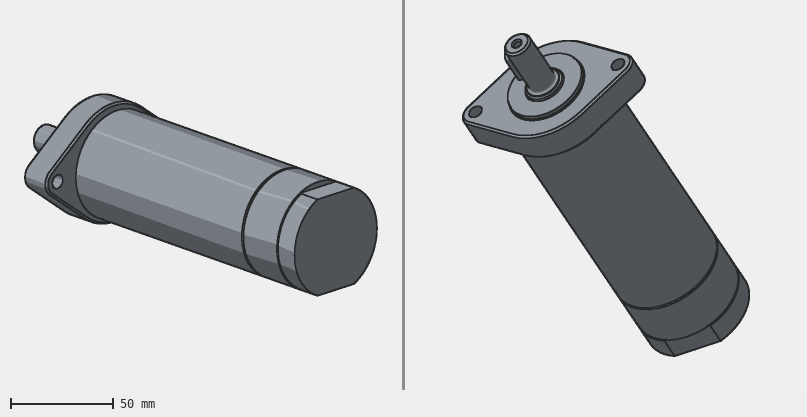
import cadquery as cq
import math

LENGTH = 207.3
SHAFT_LENGTH = 28.2
COLLAR_START = 30.3
PILOT_START = 32.0
FLANGE_START = 34.5
FLANGE_END = 50.8
NECK_LENGTH = 1.9
GROOVE_START = 170.0
GROOVE_WIDTH = 1.2
SEAM_START = 194.9
SEAM_WIDTH = 0.6

SHAFT_DIAMETER = 14.0
SHAFT_CHAMFER = 1.0
SHAFT_FILLET = 1.7
COLLAR_DIAMETER = 20.0
COLLAR_BEVEL_LENGTH = 0.6
COLLAR_BEVEL_HEIGHT = 1.0
PILOT_BORE_DIAMETER = 21.0
PILOT_DIAMETER = 40.0
PILOT_BASE_BEVEL = 0.52
NECK_DIAMETER = 48.0
SEAM_DIAMETER = 55.5
BODY_DIAMETER = 56.0

CENTRE_MOUTH_DIAMETER = 5.4
CENTRE_DIAMETER = 4.1
CENTRE_BEVEL = 1.0
CENTRE_DEPTH = 8.3
CENTRE_POINT = 1.0

KEY_START = 5.0
KEY_LENGTH = 18.0
KEY_WIDTH = 5.0
KEY_TOP = 9.0

FLANGE_HEIGHT = 62.0
HOLE_SPACING = 77.1
LUG_DIAMETER = 15.0
HOLE_DIAMETER = 7.0
FLANGE_CHAMFER = 1.0

FLATS_DISTANCE = 50.2


def turned(points):
    """Revolve (x, radius) points around the X axis; the outline closes along the axis."""
    outline = [(points[0][0], 0)] + points
    if points[-1][1] > 0:
        outline.append((points[-1][0], 0))
    return cq.Workplane("XY").polyline(outline).close().revolve(360, (0, 0, 0), (1, 0, 0))


def cylinder(start, end, diameter):
    """Cylinder on the X axis."""
    return turned([(start, diameter / 2), (end, diameter / 2)])


def make_shaft():
    """Shaft with a bevelled tip and a concave fillet rising to the bevelled collar."""
    shaft_r = SHAFT_DIAMETER / 2
    collar_r = COLLAR_DIAMETER / 2
    fillet_r = shaft_r + SHAFT_FILLET
    diagonal = SHAFT_FILLET * math.sqrt(0.5)
    fillet_end = SHAFT_LENGTH + SHAFT_FILLET
    outline = (
        cq.Workplane("XY")
        .lineTo(0, shaft_r - SHAFT_CHAMFER)
        .lineTo(SHAFT_CHAMFER, shaft_r)
        .lineTo(SHAFT_LENGTH, shaft_r)
        .threePointArc((SHAFT_LENGTH + diagonal, fillet_r - diagonal), (fillet_end, fillet_r))
        .lineTo(COLLAR_START, collar_r - COLLAR_BEVEL_HEIGHT)
        .lineTo(COLLAR_START + COLLAR_BEVEL_LENGTH, collar_r)
        .lineTo(FLANGE_START, collar_r)
        .lineTo(FLANGE_START, 0)
        .close()
    )
    return outline.revolve(360, (0, 0, 0), (1, 0, 0))


def make_key():
    return (
        cq.Workplane("XZ")
        .center(KEY_START + KEY_LENGTH / 2, 0)
        .slot2D(KEY_LENGTH, KEY_WIDTH)
        .extrude(-KEY_TOP)
    )


def make_flange():
    """Lens-shaped plate: a large disc joined to two lugs by tangent lines."""
    big = FLANGE_HEIGHT / 2
    small = LUG_DIAMETER / 2
    lug_y = HOLE_SPACING / 2
    tangent_y = (big - small) / lug_y
    tangent_z = math.sqrt(1 - tangent_y ** 2)
    disc_y, disc_z = big * tangent_y, big * tangent_z
    tip_y, tip_z = lug_y + small * tangent_y, small * tangent_z
    plate = (
        cq.Workplane("YZ", origin=(FLANGE_START, 0, 0))
        .moveTo(-disc_y, disc_z)
        .threePointArc((0, big), (disc_y, disc_z))
        .lineTo(tip_y, tip_z)
        .threePointArc((lug_y + small, 0), (tip_y, -tip_z))
        .lineTo(disc_y, -disc_z)
        .threePointArc((0, -big), (-disc_y, -disc_z))
        .lineTo(-tip_y, -tip_z)
        .threePointArc((-lug_y - small, 0), (-tip_y, tip_z))
        .close()
        .extrude(FLANGE_END - FLANGE_START)
        .faces("<X or >X")
        .chamfer(FLANGE_CHAMFER)
    )
    holes = (
        cq.Workplane("YZ", origin=(FLANGE_START, 0, 0))
        .pushPoints([(-lug_y, 0), (lug_y, 0)])
        .circle(HOLE_DIAMETER / 2)
        .extrude(FLANGE_END - FLANGE_START)
    )
    return plate.cut(holes)


def make_pilot():
    """Locating ring with a small bevel at its base and a clearance bore around the collar."""
    ring_r = PILOT_DIAMETER / 2
    ring = turned([
        (PILOT_START, ring_r),
        (FLANGE_START - PILOT_BASE_BEVEL, ring_r),
        (FLANGE_START, ring_r + PILOT_BASE_BEVEL),
    ])
    return ring.cut(cylinder(PILOT_START, FLANGE_START, PILOT_BORE_DIAMETER))


def make_body():
    """Round housing with a neck behind the flange, a deep groove and a shallow seam."""
    groove_end = GROOVE_START + GROOVE_WIDTH
    seam_end = SEAM_START + SEAM_WIDTH
    neck_r = NECK_DIAMETER / 2
    body_r = BODY_DIAMETER / 2
    seam_r = SEAM_DIAMETER / 2
    return turned([
        (FLANGE_END, neck_r),
        (FLANGE_END + NECK_LENGTH, neck_r),
        (FLANGE_END + NECK_LENGTH, body_r),
        (GROOVE_START, body_r),
        (GROOVE_START, neck_r),
        (groove_end, neck_r),
        (groove_end, body_r),
        (SEAM_START, body_r),
        (SEAM_START, seam_r),
        (seam_end, seam_r),
        (seam_end, body_r),
        (LENGTH, body_r),
    ])


def make_flat_cutters():
    """Blocks that leave two parallel flats, facing +Z and -Z, behind the seam."""
    length = LENGTH - SEAM_START
    height = (BODY_DIAMETER - FLATS_DISTANCE) / 2
    block = cq.Workplane("XY").box(length, BODY_DIAMETER, height)
    centre_x = SEAM_START + length / 2
    centre_z = (FLATS_DISTANCE + height) / 2
    return block.translate((centre_x, 0, centre_z)).union(block.translate((centre_x, 0, -centre_z)))


def make_centre_hole():
    """Blind hole in the shaft tip with a bevelled mouth and a pointed bottom."""
    hole_r = CENTRE_DIAMETER / 2
    return turned([
        (0, CENTRE_MOUTH_DIAMETER / 2),
        (CENTRE_BEVEL, hole_r),
        (CENTRE_DEPTH, hole_r),
        (CENTRE_DEPTH + CENTRE_POINT, 0),
    ])


result = (
    make_body()
    .cut(make_flat_cutters())
    .union(make_flange())
    .union(make_pilot())
    .union(make_shaft())
    .union(make_key())
    .cut(make_centre_hole())
)